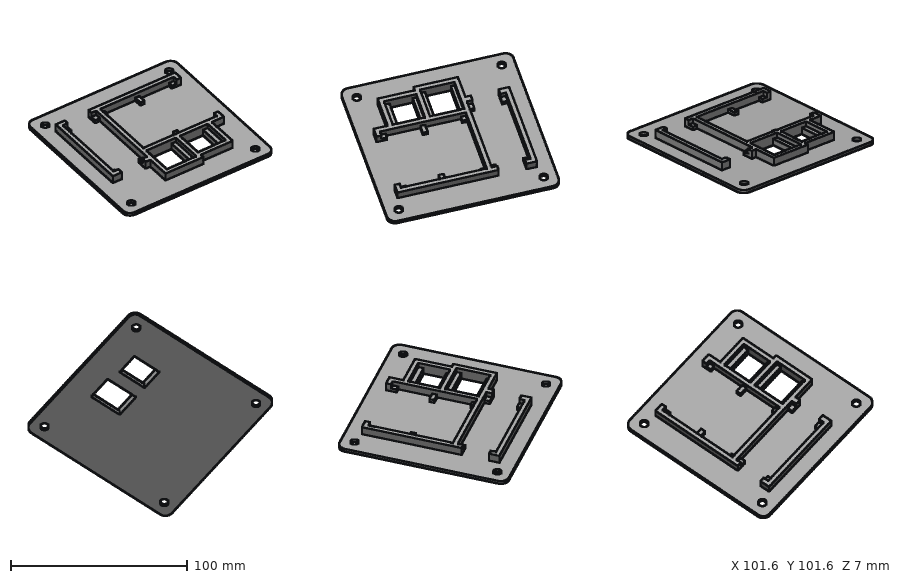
import cadquery as cq

plate_size = 101.6
plate_thickness = 2.0
corner_radius = 4.8
hole_spacing = 85.8
hole_diameter = 4.8

wall_height = 5.0
support_height = 2.0

wall = 2.9
tray_left = -34.7
tray_right = 14.0
tray_front = -15.3
tray_back = 41.2
tray_inner_left = tray_left + wall
tray_inner_right = tray_right - wall
tray_inner_front = tray_front + wall
tray_inner_back = tray_back - wall

corner_support_width = 2.9
back_support_depth = 3.4
front_support_depth = 2.9
middle_support_length = 5.3
middle_support_front = 11.6
middle_support_back = middle_support_front + wall

holder_right = 22.1
holder_post_right_width = 3.5
holder_support_width = 3.8
holder_post_depth = 3.3
bar_front = -tray_back
bar_back = bar_front + wall

upper_frame_right = 34.7
upper_frame_back = 32.9
lower_frame_right = 37.3
lower_frame_back = 10.9
upper_window_back_ledge = 3.3
lower_window_back_ledge = 2.9
window_front_ledge = 2.1


def block(left, right, front, back, height):
    """Box standing on the top of the plate."""
    return (
        cq.Workplane("XY", origin=(0, 0, plate_thickness))
        .moveTo(left, front)
        .lineTo(right, front)
        .lineTo(right, back)
        .lineTo(left, back)
        .close()
        .extrude(height)
    )


def base_plate():
    return (
        cq.Workplane("XY")
        .rect(plate_size, plate_size)
        .extrude(plate_thickness)
        .edges("|Z")
        .fillet(corner_radius)
        .faces(">Z")
        .workplane()
        .rect(hole_spacing, hole_spacing, forConstruction=True)
        .vertices()
        .hole(hole_diameter)
    )


def tray_side(outer, inward):
    """Side wall at x = outer with its back hook and supports; inward is +1 or -1."""
    inner = outer + inward * wall
    support_end = inner + inward * corner_support_width
    middle_end = inner + inward * middle_support_length
    back_support_front = tray_inner_back - back_support_depth
    front_support_back = tray_inner_front + front_support_depth
    return (
        block(outer, inner, tray_front, tray_back, wall_height)
        .union(block(inner, support_end, tray_inner_back, tray_back, wall_height))
        .union(block(inner, support_end, back_support_front, tray_inner_back, support_height))
        .union(block(inner, support_end, tray_inner_front, front_support_back, support_height))
        .union(block(inner, middle_end, middle_support_front, middle_support_back, support_height))
    )


def holder_ends(front):
    """Full-height end posts with a low support beside each, starting at y = front."""
    back = front + holder_post_depth
    post_left = holder_right - holder_post_right_width
    return (
        block(tray_left, tray_inner_left, front, back, wall_height)
        .union(block(tray_inner_left, tray_inner_left + holder_support_width, front, back, support_height))
        .union(block(post_left, holder_right, front, back, wall_height))
        .union(block(post_left - holder_support_width, post_left, front, back, support_height))
    )


def frame(right, front, back):
    """Rectangular wall block sharing the right wall of the tray."""
    return block(tray_inner_right, right, front, back, wall_height)


def frame_opening(right, inner_front, inner_back, back_ledge):
    """Recess down to the ledges, plus the window through the plate between them."""
    inner_right = right - wall
    recess = block(tray_right, inner_right, inner_front, inner_back, wall_height).translate(
        (0, 0, support_height)
    )
    window = block(
        tray_right, inner_right, inner_front + window_front_ledge, inner_back - back_ledge,
        plate_thickness + wall_height,
    ).translate((0, 0, -plate_thickness))
    return recess.union(window)


result = base_plate()

result = result.union(tray_side(tray_left, 1)).union(tray_side(tray_right, -1))
result = result.union(block(tray_left, lower_frame_right, tray_front, tray_inner_front, wall_height))

result = result.union(block(tray_left, holder_right, bar_front, bar_back, wall_height))
result = result.union(holder_ends(bar_back)).union(holder_ends(tray_front - holder_post_depth))

result = result.union(frame(upper_frame_right, lower_frame_back - wall, upper_frame_back))
result = result.union(frame(lower_frame_right, tray_front, lower_frame_back))
result = result.cut(
    frame_opening(upper_frame_right, lower_frame_back, upper_frame_back - wall, upper_window_back_ledge)
)
result = result.cut(
    frame_opening(lower_frame_right, tray_inner_front, lower_frame_back - wall, lower_window_back_ledge)
)